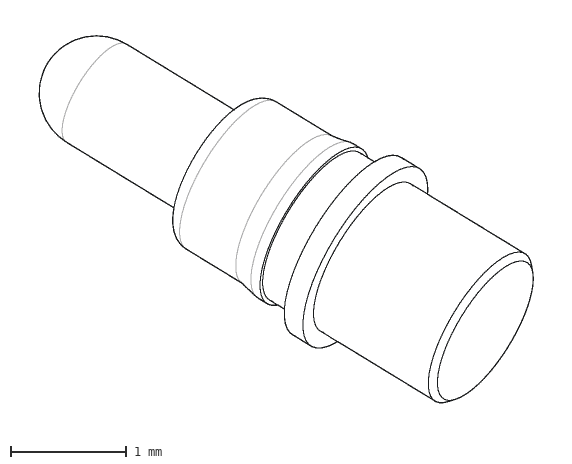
import cadquery as cq
import math

total_length = 4.7

plunger_radius = 0.5
barrel_start = 1.805
barrel_radius = 0.745
barrel_fillet = 0.15
end_chamfer = 0.055

barb_start = 2.56
barb_taper_length = 0.195
barb_land_length = 0.1
barb_radius = 0.785

flange_start = 3.2
flange_width = 0.2
flange_diameter = 1.8


def disc(start, length, radius):
    """Cylinder along +X, beginning at the given X position."""
    return cq.Workplane("YZ", origin=(start, 0, 0)).circle(radius).extrude(length)


def make_plunger():
    """Round-nosed plunger running from the tip to the barrel face."""
    nose_arc_middle = (
        plunger_radius * (1 - math.cos(math.pi / 4)),
        plunger_radius * math.sin(math.pi / 4),
    )
    return (
        cq.Workplane("XY")
        .threePointArc(nose_arc_middle, (plunger_radius, plunger_radius))
        .lineTo(barrel_start, plunger_radius)
        .lineTo(barrel_start, 0)
        .close()
        .revolve(360, (0, 0, 0), (1, 0, 0))
    )


def make_barrel():
    """Barrel with a rounded front edge and a chamfered rear edge."""
    barrel = disc(barrel_start, total_length - barrel_start, barrel_radius)
    return barrel.faces("<X").edges().fillet(barrel_fillet).faces(">X").edges().chamfer(end_chamfer)


def make_barb():
    """Retaining ring that tapers up from the barrel to a short cylindrical land."""
    taper_end = barb_start + barb_taper_length
    barb_end = taper_end + barb_land_length
    return (
        cq.Workplane("XY")
        .moveTo(barb_start, 0)
        .lineTo(barb_start, barrel_radius)
        .lineTo(taper_end, barb_radius)
        .lineTo(barb_end, barb_radius)
        .lineTo(barb_end, 0)
        .close()
        .revolve(360, (0, 0, 0), (1, 0, 0))
    )


flange = disc(flange_start, flange_width, flange_diameter / 2)
result = make_plunger().union(make_barrel()).union(make_barb()).union(flange)